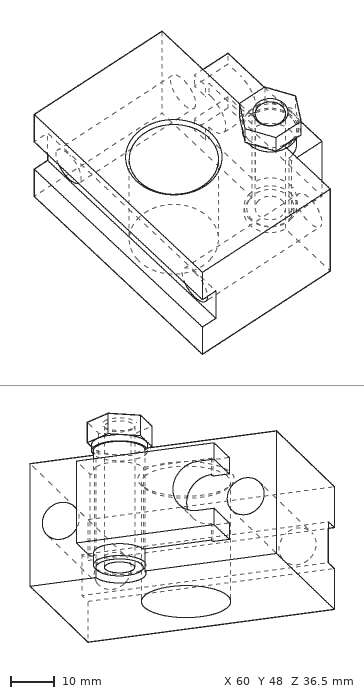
import cadquery as cq
import math

BLOCK_LENGTH = 60.0
BLOCK_DEPTH = 38.0
BLOCK_HEIGHT = 30.0
MID_HEIGHT = BLOCK_HEIGHT / 2

GROOVE_WIDTH = 10.0
GROOVE_DEPTH = 4.0

BORE_DIAMETER = 20.38
BORE_MOUTH_DIAMETER = 22.0
BORE_Y = 16.5

MOUNT_HOLE_DIAMETER = 9.0
MOUNT_HOLE_SPACING = 45.0

JAW_LEFT_X = -18.5
JAW_LENGTH = 33.5
JAW_DEPTH = 10.0
JAW_HEIGHT = 20.0
JAW_FOOT_LENGTH = 4.0
JAW_GAP = 1.0
JAW_SLOT_WIDTH = 12.0

BOLT_X = 8.0
BOLT_OFFSET = 0.5
BOLT_Y = BLOCK_DEPTH + BOLT_OFFSET
BOLT_BOTTOM_Z = 1.5
SHANK_DIAMETER = 12.0
SHANK_CHAMFER = 0.6
COLLAR_DIAMETER = 12.8
COLLAR_HEIGHT = 1.5
HEX_ACROSS_FLATS = 13.0
HEX_HEIGHT = 5.0
BOLT_BORE_DIAMETER = 6.92
BOLT_MOUTH_DIAMETER = 8.0
BOLT_TOP_Z = BLOCK_HEIGHT + COLLAR_HEIGHT + HEX_HEIGHT

CUT_MARGIN = 1.0


def box(x, y, z, length, depth, height):
    """Box with its lowest corner at (x, y, z)."""
    return cq.Workplane("XY").box(length, depth, height, centered=False).translate((x, y, z))


def cylinder(x, y, bottom_z, diameter, height):
    """Vertical cylinder standing on bottom_z."""
    return cq.Workplane("XY", origin=(x, y, bottom_z)).circle(diameter / 2).extrude(height)


def chamfered_bore(x, y, top_z, diameter, mouth_diameter):
    """Cutter for a vertical through bore with a 45 degree chamfer at top_z."""
    radius = diameter / 2
    mouth_radius = mouth_diameter / 2
    profile = [
        (0, -CUT_MARGIN),
        (radius, -CUT_MARGIN),
        (radius, top_z - (mouth_radius - radius)),
        (mouth_radius, top_z),
        (0, top_z),
    ]
    return cq.Workplane("XZ").polyline(profile).close().revolve(360, (0, 0), (0, 1)).translate((x, y, 0))


def make_block():
    block = box(-BLOCK_LENGTH / 2, 0, 0, BLOCK_LENGTH, BLOCK_DEPTH, BLOCK_HEIGHT)
    groove_bottom = MID_HEIGHT - GROOVE_WIDTH / 2
    block = block.cut(box(-BLOCK_LENGTH / 2, 0, groove_bottom, BLOCK_LENGTH, GROOVE_DEPTH, GROOVE_WIDTH))
    block = block.cut(chamfered_bore(0, BORE_Y, BLOCK_HEIGHT, BORE_DIAMETER, BORE_MOUTH_DIAMETER))
    mount_holes = (
        cq.Workplane("XZ")
        .pushPoints([(side * MOUNT_HOLE_SPACING / 2, MID_HEIGHT) for side in (-1, 1)])
        .circle(MOUNT_HOLE_DIAMETER / 2)
        .extrude(-BLOCK_DEPTH)
    )
    block = block.cut(mount_holes)
    return block.cut(cylinder(BOLT_X, BOLT_Y, 0, SHANK_DIAMETER, BLOCK_HEIGHT))


def make_jaw():
    bottom = MID_HEIGHT - JAW_HEIGHT / 2
    jaw = box(JAW_LEFT_X, BLOCK_DEPTH, bottom, JAW_LENGTH, JAW_DEPTH, JAW_HEIGHT)
    foot_end = JAW_LEFT_X + JAW_FOOT_LENGTH
    jaw = jaw.cut(box(foot_end, BLOCK_DEPTH, bottom, JAW_LENGTH - JAW_FOOT_LENGTH, JAW_GAP, JAW_HEIGHT))
    slot_radius = JAW_SLOT_WIDTH / 2
    slot = (
        cq.Workplane("XZ", origin=(0, BLOCK_DEPTH, 0))
        .moveTo(JAW_LEFT_X, MID_HEIGHT - slot_radius)
        .lineTo(foot_end, MID_HEIGHT - slot_radius)
        .threePointArc((foot_end + slot_radius, MID_HEIGHT), (foot_end, MID_HEIGHT + slot_radius))
        .lineTo(JAW_LEFT_X, MID_HEIGHT + slot_radius)
        .close()
        .extrude(-JAW_DEPTH)
    )
    return jaw.cut(slot)


def make_bolt():
    shank = cylinder(BOLT_X, BOLT_Y, BOLT_BOTTOM_Z, SHANK_DIAMETER, BLOCK_HEIGHT - BOLT_BOTTOM_Z)
    shank = shank.faces("<Z").chamfer(SHANK_CHAMFER)
    collar = cylinder(BOLT_X, BOLT_Y, BLOCK_HEIGHT, COLLAR_DIAMETER, COLLAR_HEIGHT)
    hex_across_corners = HEX_ACROSS_FLATS / math.cos(math.radians(30))
    head = (
        cq.Workplane("XY")
        .polygon(6, hex_across_corners)
        .extrude(HEX_HEIGHT)
        .rotate((0, 0, 0), (0, 0, 1), 90)
        .translate((BOLT_X, BOLT_Y, BLOCK_HEIGHT + COLLAR_HEIGHT))
    )
    return shank.union(collar).union(head)


bolt_bore = chamfered_bore(BOLT_X, BOLT_Y, BOLT_TOP_Z, BOLT_BORE_DIAMETER, BOLT_MOUTH_DIAMETER)
result = make_block().union(make_jaw()).union(make_bolt()).cut(bolt_bore)